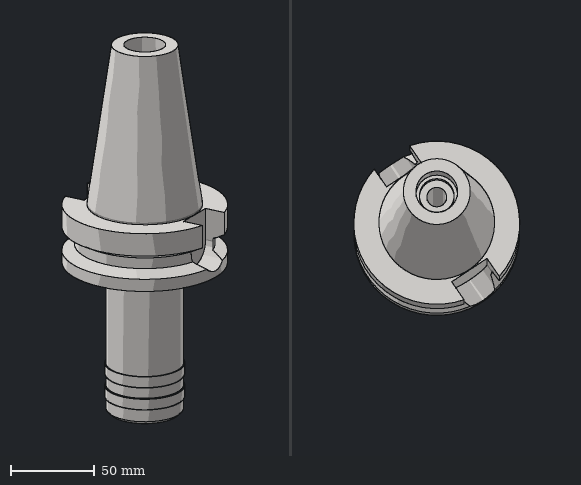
import cadquery as cq

total_length = 236.8

taper_top_radius = 20.1
gauge_radius = 34.8
gauge_z = 135.0

flange_radius = 50.0
flange_top_z = 134.0
flange_bottom_z = 96.9
groove_floor_radius = 42.5
groove_top_z = 119.5
groove_floor_top_z = 115.5
groove_floor_bottom_z = 108.7
groove_bottom_z = 104.7

nose_radius = 23.5
collar_radius = 26.3
collar_height = collar_radius - nose_radius
nose_chamfer = 2.1
end_face_radius = 16.3
end_face_height = 0.7
ring_radius = 24.2
ring_height = 7.3
ring_bottoms = (10.7, 24.6)
ring_chamfer = 0.5

slot_width = 25.5
slot_floor_x = 35.0
slot_bottom_z = 101.0

counterbores = ((12.5, 13.7), (10.5, 18.5))
through_radius = 6.0


def make_body():
    """Revolve the taper, flange and nose from one half profile."""
    return (
        cq.Workplane("XZ")
        .moveTo(0, 0)
        .lineTo(end_face_radius, 0)
        .lineTo(end_face_radius, end_face_height)
        .lineTo(nose_radius - nose_chamfer, end_face_height)
        .lineTo(nose_radius, end_face_height + nose_chamfer)
        .lineTo(nose_radius, flange_bottom_z - collar_height)
        .lineTo(collar_radius, flange_bottom_z)
        .lineTo(flange_radius, flange_bottom_z)
        .lineTo(flange_radius, groove_bottom_z)
        .lineTo(groove_floor_radius, groove_floor_bottom_z)
        .lineTo(groove_floor_radius, groove_floor_top_z)
        .lineTo(flange_radius, groove_top_z)
        .lineTo(flange_radius, flange_top_z)
        .lineTo(gauge_radius, flange_top_z)
        .lineTo(gauge_radius, gauge_z)
        .lineTo(taper_top_radius, total_length)
        .lineTo(0, total_length)
        .close()
        .revolve(360, (0, 0, 0), (0, 1, 0))
    )


def make_ring(bottom_z, chamfered_edge):
    """Make a raised ring with a chamfer on its lower ("<Z") or upper (">Z") edge."""
    ring = cq.Workplane("XY", origin=(0, 0, bottom_z)).circle(ring_radius).extrude(ring_height)
    return ring.edges(chamfered_edge).chamfer(ring_chamfer)


def make_drive_slot(side):
    """Make the cutter for one round-bottomed slot, open upward and outward."""
    arc_center_z = slot_bottom_z + slot_width / 2
    return (
        cq.Workplane("YZ", origin=(side * slot_floor_x, 0, 0))
        .moveTo(-slot_width / 2, flange_top_z)
        .lineTo(-slot_width / 2, arc_center_z)
        .threePointArc((0, slot_bottom_z), (slot_width / 2, arc_center_z))
        .lineTo(slot_width / 2, flange_top_z)
        .close()
        .extrude(side * flange_radius)
    )


result = make_body()

lower_ring_z, upper_ring_z = ring_bottoms
result = result.union(make_ring(lower_ring_z, ">Z"))
result = result.union(make_ring(upper_ring_z, "<Z"))

for side in (-1, 1):
    result = result.cut(make_drive_slot(side))

through_bore = cq.Workplane("XY").circle(through_radius).extrude(total_length)
result = result.cut(through_bore)
for radius, depth in counterbores:
    counterbore = cq.Workplane("XY", origin=(0, 0, total_length - depth)).circle(radius).extrude(depth)
    result = result.cut(counterbore)